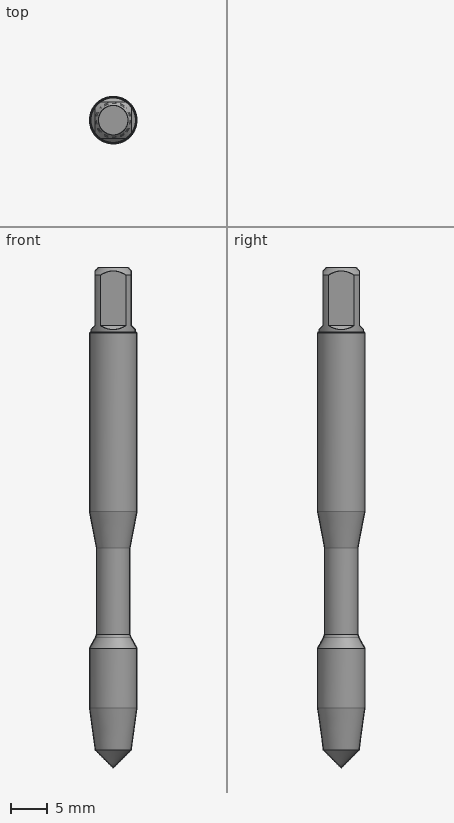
import cadquery as cq

TOTAL_LENGTH = 68.2
POINT_TOP_Z = 2.45
LEAD_TOP_Z = 8.2
HEAD_TOP_Z = 16.3
SHOULDER_TOP_Z = 17.8
NECK_BOTTOM_Z = 18.2
NECK_TOP_Z = 29.95
SHANK_BOTTOM_Z = 34.9
SHANK_TOP_Z = 59.4

HEAD_DIAMETER = 6.5
SHANK_DIAMETER = 6.5
COLLAR_DIAMETER = 6.3
DRIVE_DIAMETER = 6.1
NECK_DIAMETER = 4.6
POINT_DIAMETER = 2 * POINT_TOP_Z
SHOULDER_TOP_DIAMETER = 4.85
DRIVE_TOP_DIAMETER = 4.0

FLAT_COUNT = 4
DRIVE_WIDTH = 5.0
FLAT_BOTTOM_Z = 60.3

shank_chamfer = (SHANK_DIAMETER - COLLAR_DIAMETER) / 2
drive_chamfer = (DRIVE_DIAMETER - DRIVE_TOP_DIAMETER) / 2


def revolve_profile(stations):
    """Solid of revolution about Z from (diameter, height) stations, bottom to top."""
    bottom_z = stations[0][1]
    top_z = stations[-1][1]
    profile = cq.Workplane("XZ").moveTo(0, bottom_z)
    for diameter, height in stations:
        if diameter > 0:
            profile = profile.lineTo(diameter / 2, height)
    return profile.lineTo(0, top_z).close().revolve(360, (0, 0, 0), (0, 1, 0))


def flat_cutter():
    """Prism that mills the +X flat and leaves a 45 degree ramp below it."""
    flat_x = DRIVE_WIDTH / 2
    outer_x = SHANK_DIAMETER
    ramp_drop = outer_x - flat_x
    return (
        cq.Workplane("XZ")
        .moveTo(flat_x, FLAT_BOTTOM_Z)
        .lineTo(outer_x, FLAT_BOTTOM_Z - ramp_drop)
        .lineTo(outer_x, TOTAL_LENGTH)
        .lineTo(flat_x, TOTAL_LENGTH)
        .close()
        .extrude(SHANK_DIAMETER, both=True)
    )


def make_shank():
    """Shank with a waisted neck below and a chamfered square drive on top."""
    shank = revolve_profile([
        (SHANK_DIAMETER, HEAD_TOP_Z),
        (SHOULDER_TOP_DIAMETER, SHOULDER_TOP_Z),
        (NECK_DIAMETER, NECK_BOTTOM_Z),
        (NECK_DIAMETER, NECK_TOP_Z),
        (SHANK_DIAMETER, SHANK_BOTTOM_Z),
        (SHANK_DIAMETER, SHANK_TOP_Z - shank_chamfer),
        (COLLAR_DIAMETER, SHANK_TOP_Z),
        (DRIVE_DIAMETER, SHANK_TOP_Z),
        (DRIVE_DIAMETER, TOTAL_LENGTH - drive_chamfer),
        (DRIVE_TOP_DIAMETER, TOTAL_LENGTH),
    ])
    for side in range(FLAT_COUNT):
        angle = side * 360 / FLAT_COUNT
        shank = shank.cut(flat_cutter().rotate((0, 0, 0), (0, 0, 1), angle))
    return shank


def make_head():
    """Cylindrical working head with a tapered lead and a conical point."""
    return revolve_profile([
        (0, 0),
        (POINT_DIAMETER, POINT_TOP_Z),
        (HEAD_DIAMETER, LEAD_TOP_Z),
        (HEAD_DIAMETER, HEAD_TOP_Z),
    ])


shank = make_shank()
head = make_head()

result = cq.Compound.makeCompound([shank.val(), head.val()])